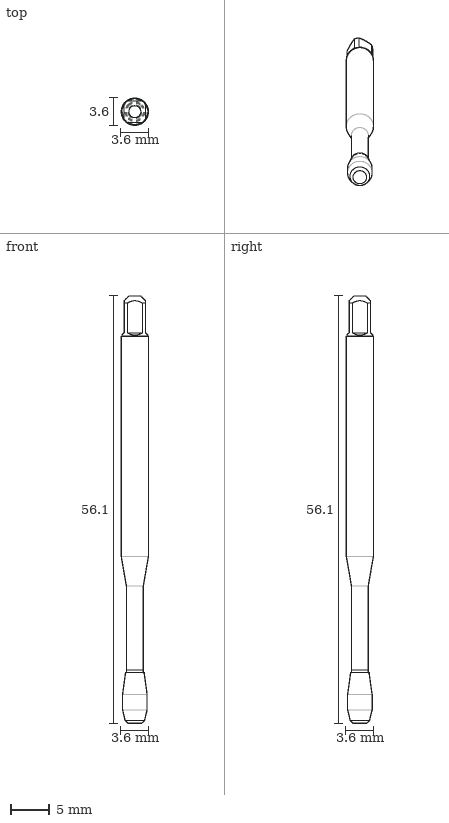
import cadquery as cq
import math

TOTAL_LENGTH = 56.1

SHANK_RADIUS = 3.6 / 2
DRIVE_RADIUS = 3.4 / 2
DRIVE_ACROSS_FLATS = 2.8
TIP_RADIUS = 0.8
SHOULDER_Z = 50.75
FLAT_END_Z = 51.3
TAPER_TOP_Z = 21.9
TAPER_ANGLE = 9.9
NECK_RADIUS = 2.25 / 2

HEAD_TOP_Z = 7.0
REAR_CONE_Z = 6.7
REAR_CONE_RADIUS = 2.45 / 2
HEAD_RADIUS = 3.25 / 2
HEAD_CYLINDER_TOP_Z = 3.8
HEAD_CYLINDER_BOTTOM_Z = 1.8
LEAD_RADIUS = 2.6 / 2
NOSE_HEIGHT = 0.4
NOSE_RADIUS = LEAD_RADIUS - NOSE_HEIGHT


def revolve_profile(points):
    """Turn a closed (radius, z) profile around the Z axis."""
    return cq.Workplane("XZ").polyline(points).close().revolve(360, (0, 0, 0), (0, 1, 0))


def drive_flat_cutter():
    """Prism that cuts the +X drive flat and its 45 degree run-out."""
    half_flats = DRIVE_ACROSS_FLATS / 2
    outer_x = 2 * SHANK_RADIUS
    width = 4 * SHANK_RADIUS
    run_out_z = FLAT_END_Z - (outer_x - half_flats)
    profile = [
        (half_flats, TOTAL_LENGTH),
        (half_flats, FLAT_END_Z),
        (outer_x, run_out_z),
        (outer_x, TOTAL_LENGTH),
    ]
    return cq.Workplane("XZ").polyline(profile).close().extrude(width / 2, both=True)


def make_shank():
    """Turned shank with four flats on its drive end."""
    taper_length = (SHANK_RADIUS - NECK_RADIUS) / math.tan(math.radians(TAPER_ANGLE))
    taper_bottom_z = TAPER_TOP_Z - taper_length
    tip_chamfer = DRIVE_RADIUS - TIP_RADIUS
    shoulder_chamfer = SHANK_RADIUS - DRIVE_RADIUS
    shank = revolve_profile([
        (0, HEAD_TOP_Z),
        (NECK_RADIUS, HEAD_TOP_Z),
        (NECK_RADIUS, taper_bottom_z),
        (SHANK_RADIUS, TAPER_TOP_Z),
        (SHANK_RADIUS, SHOULDER_Z),
        (DRIVE_RADIUS, SHOULDER_Z + shoulder_chamfer),
        (DRIVE_RADIUS, TOTAL_LENGTH - tip_chamfer),
        (TIP_RADIUS, TOTAL_LENGTH),
        (0, TOTAL_LENGTH),
    ])
    for angle in (0, 90, 180, 270):
        shank = shank.cut(drive_flat_cutter().rotate((0, 0, 0), (0, 0, 1), angle))
    return shank


def make_head():
    """Turned head that meets the end of the neck."""
    return revolve_profile([
        (0, 0),
        (NOSE_RADIUS, 0),
        (LEAD_RADIUS, NOSE_HEIGHT),
        (HEAD_RADIUS, HEAD_CYLINDER_BOTTOM_Z),
        (HEAD_RADIUS, HEAD_CYLINDER_TOP_Z),
        (REAR_CONE_RADIUS, REAR_CONE_Z),
        (NECK_RADIUS, REAR_CONE_Z),
        (NECK_RADIUS, HEAD_TOP_Z),
        (0, HEAD_TOP_Z),
    ])


shank = make_shank()
head = make_head()
result = cq.Compound.makeCompound([shank.val(), head.val()])